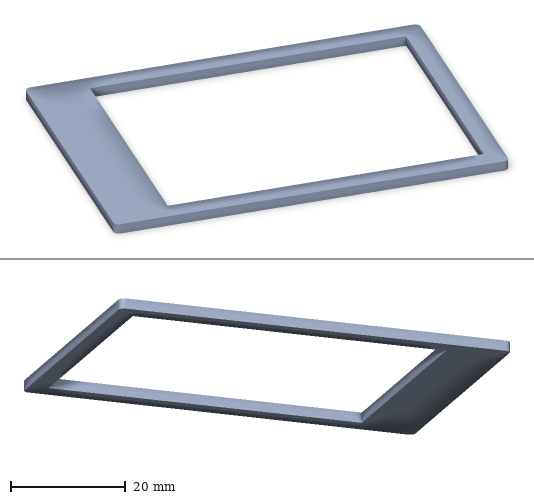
import cadquery as cq

width = 50.4
length = 72.4
thickness = 1.9
corner_radius = 1.0

side_border = 3.55
top_border = 3.55
bottom_border = 10.85

window_width = width - 2 * side_border
window_length = length - top_border - bottom_border
window_center_y = (bottom_border - top_border) / 2

plate = cq.Workplane("XY").box(width, length, thickness).edges("|Z").fillet(corner_radius)

window = (
    cq.Workplane("XY")
    .center(0, window_center_y)
    .rect(window_width, window_length)
    .extrude(thickness, both=True)
)

result = plate.cut(window)